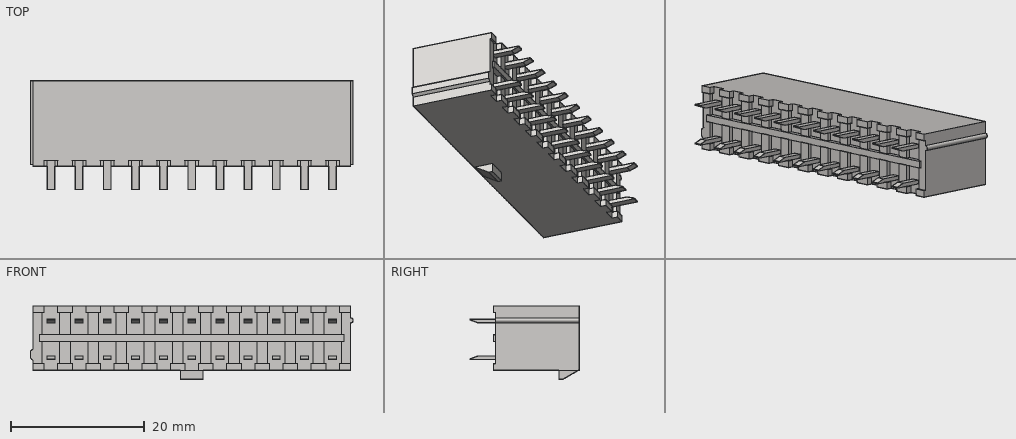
import cadquery as cq


body_width = 47.45
end_x = body_width / 2
body_height = 9.65
body_depth = 12.8
standoff = 0.3
face_y = standoff - body_depth
front_y = -body_depth

column_count = 11
row_length = 42.05
pitch = row_length / (column_count - 1)
column_x = [(i - (column_count - 1) / 2) * pitch for i in range(column_count)]

rim_height = 1.0
slot_width = 2.6
notch_width = 2.02
pocket_depth = 0.85
pocket_floor_y = front_y + pocket_depth
bar_length = 45.5
bar_height = 1.0

pin_width = 1.15
pin_thickness = 0.6
pin_tip_thickness = 0.15
pin_taper = 1.15
overall_depth = 16.3
lower_pin_z = 1.9
row_spacing = 5.5
upper_pin_z = lower_pin_z + row_spacing

left_key_reach = 0.4
left_key_root_bottom = 1.5
left_key_crest_bottom = 1.9
left_key_crest_top = 2.9
left_key_root_top = 3.2
right_key_radius = 0.4
right_key_z = 7.45

latch_width = 3.35
latch_height = 1.35
latch_start = 0.15
latch_length = 3.05
latch_flat = 0.6


def box(x_center, width, y_front, y_back, z_bottom, z_top):
    """Axis-aligned block, centred in X and given by its limits in Y and Z."""
    return cq.Workplane("XY").box(
        width, y_back - y_front, z_top - z_bottom, centered=(True, False, False)
    ).translate((x_center, y_front, z_bottom))


def make_housing():
    """Block with a recessed terminal face, column pockets and a centre bar."""
    rim_underside = body_height - rim_height
    housing = box(0, body_width, front_y, 0, 0, body_height)
    housing = housing.cut(box(0, body_width, front_y, face_y, rim_height, rim_underside))
    for x in column_x:
        housing = housing.cut(box(x, slot_width, front_y, pocket_floor_y, rim_height, rim_underside))
        housing = housing.cut(box(x, notch_width, front_y, pocket_floor_y, 0, body_height))
    bar_bottom = (body_height - bar_height) / 2
    bar = box(0, bar_length, front_y, pocket_floor_y, bar_bottom, bar_bottom + bar_height)
    return housing.union(bar)


def make_pin(x, z, flat_side):
    """Flat pin with a one-sided taper; flat_side is +1 when its top stays flat, -1 for its bottom."""
    flat_z = z + flat_side * pin_thickness / 2
    sloped_z = z - flat_side * pin_thickness / 2
    tip_z = flat_z - flat_side * pin_tip_thickness
    tip_y = -overall_depth
    outline = [
        (pocket_floor_y, flat_z),
        (tip_y, flat_z),
        (tip_y, tip_z),
        (tip_y + pin_taper, sloped_z),
        (pocket_floor_y, sloped_z),
    ]
    pin = cq.Workplane("YZ").polyline(outline).close().extrude(pin_width / 2, both=True)
    return pin.translate((x, 0, 0))


def make_left_key():
    """Trapezoidal ridge on the -X end, running from the mating face to the terminal face."""
    root_x = -end_x
    crest_x = root_x - left_key_reach
    outline = [
        (root_x, left_key_root_bottom),
        (crest_x, left_key_crest_bottom),
        (crest_x, left_key_crest_top),
        (root_x, left_key_root_top),
    ]
    return cq.Workplane("XZ").polyline(outline).close().extrude(-face_y)


def make_right_key():
    """Half-round ridge on the +X end, running from the mating face to the terminal face."""
    return (
        cq.Workplane("XZ")
        .moveTo(end_x, right_key_z - right_key_radius)
        .threePointArc((end_x + right_key_radius, right_key_z), (end_x, right_key_z + right_key_radius))
        .close()
        .extrude(-face_y)
    )


def make_latch():
    """Ramp with a short flat crest and a square locking face."""
    outline = [
        (-latch_start, 0),
        (latch_flat - latch_length, -latch_height),
        (-latch_length, -latch_height),
        (-latch_length, 0),
    ]
    return cq.Workplane("YZ").polyline(outline).close().extrude(latch_width / 2, both=True)


result = make_housing().union(make_left_key()).union(make_right_key()).union(make_latch())
for x in column_x:
    result = result.union(make_pin(x, upper_pin_z, 1))
    result = result.union(make_pin(x, lower_pin_z, -1))